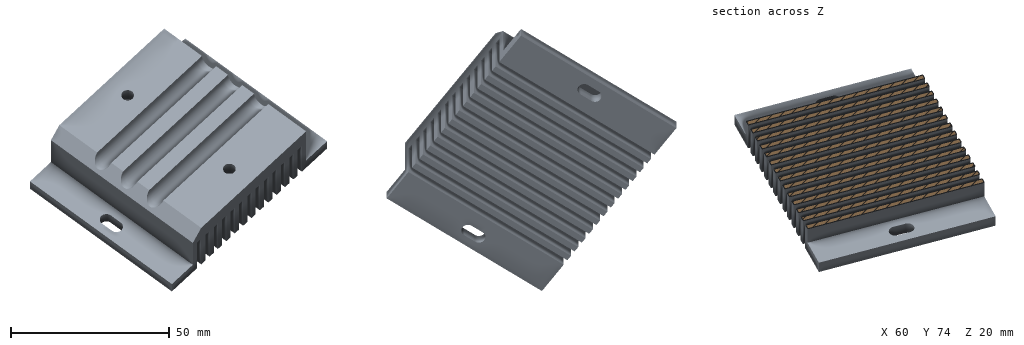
import cadquery as cq
import math

LENGTH_X = 60.0
TOTAL_DEPTH = 74.0
HEIGHT = 20.0

FLANGE_DEPTH = 10.0
FLANGE_THICKNESS = 4.0
FRONT_CHAMFER = 4.0

FIN_GAP = 2.0
FIN_PITCH = 4.0
FIN_GAP_COUNT = 13
FIN_GAP_HEIGHT = 14.0

GROOVE_DIAMETER = 6.0
GROOVE_PITCH = 11.0
GROOVE_COUNT = 3

MOUNT_SLOT_WIDTH = 4.2
MOUNT_SLOT_TRAVEL = MOUNT_SLOT_WIDTH

TAP_HOLE_SPACING = 43.0
THREAD_DIAMETER = 4.0
THREAD_DEPTH = 5.0
DRILL_DIAMETER = 3.3
DRILL_DEPTH = 6.0
DRILL_POINT_ANGLE = 118.0

HALF_DEPTH = TOTAL_DEPTH / 2
HALF_BODY = HALF_DEPTH - FLANGE_DEPTH


def centred_positions(count, pitch):
    """Evenly spaced positions, symmetric about zero."""
    return [(index - (count - 1) / 2) * pitch for index in range(count)]


def make_body():
    """Flanged profile in the YZ plane, extruded along X."""
    profile = [
        (-HALF_DEPTH, 0),
        (HALF_DEPTH, 0),
        (HALF_DEPTH, FLANGE_THICKNESS),
        (HALF_BODY, FLANGE_THICKNESS),
        (HALF_BODY, HEIGHT),
        (-HALF_BODY + FRONT_CHAMFER, HEIGHT),
        (-HALF_BODY, HEIGHT - FRONT_CHAMFER),
        (-HALF_BODY, FLANGE_THICKNESS),
        (-HALF_DEPTH, FLANGE_THICKNESS),
    ]
    return cq.Workplane("YZ", origin=(-LENGTH_X / 2, 0, 0)).polyline(profile).close().extrude(LENGTH_X)


def make_fin_gaps():
    """Gaps between the fins, running the full length in X."""
    centres = [(0, y) for y in centred_positions(FIN_GAP_COUNT, FIN_PITCH)]
    return cq.Workplane("XY").pushPoints(centres).rect(LENGTH_X, FIN_GAP).extrude(FIN_GAP_HEIGHT)


def make_grooves():
    """Half-round grooves along Y, centred on the top face."""
    centres = [(x, HEIGHT) for x in centred_positions(GROOVE_COUNT, GROOVE_PITCH)]
    back_plane = cq.Workplane("XZ", origin=(0, HALF_BODY, 0))
    return back_plane.pushPoints(centres).circle(GROOVE_DIAMETER / 2).extrude(2 * HALF_BODY)


def make_mount_slots():
    """One slot in the middle of each flange, elongated along X."""
    slot_y = HALF_DEPTH - FLANGE_DEPTH / 2
    slot_length = MOUNT_SLOT_TRAVEL + MOUNT_SLOT_WIDTH
    slots = cq.Workplane("XY").pushPoints([(0, -slot_y), (0, slot_y)])
    return slots.slot2D(slot_length, MOUNT_SLOT_WIDTH).extrude(FLANGE_THICKNESS)


def make_tapped_hole(x):
    """Stepped hole with a conical drill point, revolved about a vertical axis."""
    thread_radius = THREAD_DIAMETER / 2
    drill_radius = DRILL_DIAMETER / 2
    thread_bottom = HEIGHT - THREAD_DEPTH
    drill_bottom = HEIGHT - DRILL_DEPTH
    point_length = drill_radius / math.tan(math.radians(DRILL_POINT_ANGLE / 2))
    half_section = [
        (0, HEIGHT),
        (thread_radius, HEIGHT),
        (thread_radius, thread_bottom),
        (drill_radius, thread_bottom),
        (drill_radius, drill_bottom),
        (0, drill_bottom - point_length),
    ]
    hole = cq.Workplane("XZ").polyline(half_section).close().revolve(360, (0, 0, 0), (0, 1, 0))
    return hole.translate((x, 0, 0))


result = make_body()
result = result.cut(make_fin_gaps())
result = result.cut(make_grooves())
result = result.cut(make_mount_slots())
for hole_x in centred_positions(2, TAP_HOLE_SPACING):
    result = result.cut(make_tapped_hole(hole_x))